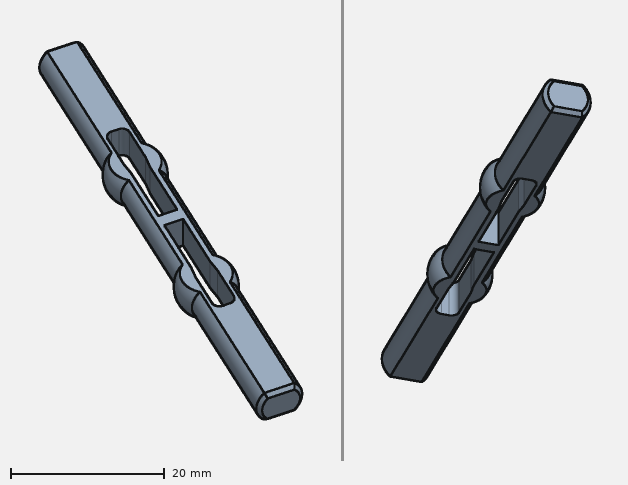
import cadquery as cq

length = 68.75
rod_diameter = 6.6
thickness = 5.0
end_chamfer = 0.585

bulge_diameter = 8.5
bulge_center_x = 11.1

slot_end_x = 17.25
slot_wide_width = 3.1
slot_narrow_width = 2.7
slot_corner_radius = 1.0
taper_outer_x = 11.2
taper_inner_x = 9.35
web_thickness = 1.85


def make_bar():
    """Rod with flats on +Z and -Z, chamfered around both end faces."""
    rod = cq.Workplane("YZ").circle(rod_diameter / 2).extrude(length / 2, both=True)
    flats = cq.Workplane("XY").box(length, rod_diameter, thickness)
    return rod.intersect(flats).faces("<X or >X").chamfer(end_chamfer)


def make_bulge(center_x):
    """Sphere on the rod axis, trimmed to the thickness of the bar."""
    flats = cq.Workplane("XY").box(bulge_diameter, bulge_diameter, thickness)
    return cq.Workplane("XY").sphere(bulge_diameter / 2).intersect(flats).translate((center_x, 0, 0))


def make_slot():
    """Through slot on the +X side of the web, rounded at its outer corners."""
    wide_y = slot_wide_width / 2
    narrow_y = slot_narrow_width / 2
    web_x = web_thickness / 2
    outline = [
        (web_x, -narrow_y),
        (taper_inner_x, -narrow_y),
        (taper_outer_x, -wide_y),
        (slot_end_x, -wide_y),
        (slot_end_x, wide_y),
        (taper_outer_x, wide_y),
        (taper_inner_x, narrow_y),
        (web_x, narrow_y),
    ]
    slot = cq.Workplane("XY").polyline(outline).close().extrude(thickness, both=True)
    outer_corners = slot.faces(">X").edges("|Z")
    return outer_corners.fillet(slot_corner_radius)


result = make_bar()
for side in (-1, 1):
    result = result.union(make_bulge(side * bulge_center_x))

slot = make_slot()
result = result.cut(slot).cut(slot.mirror("YZ"))